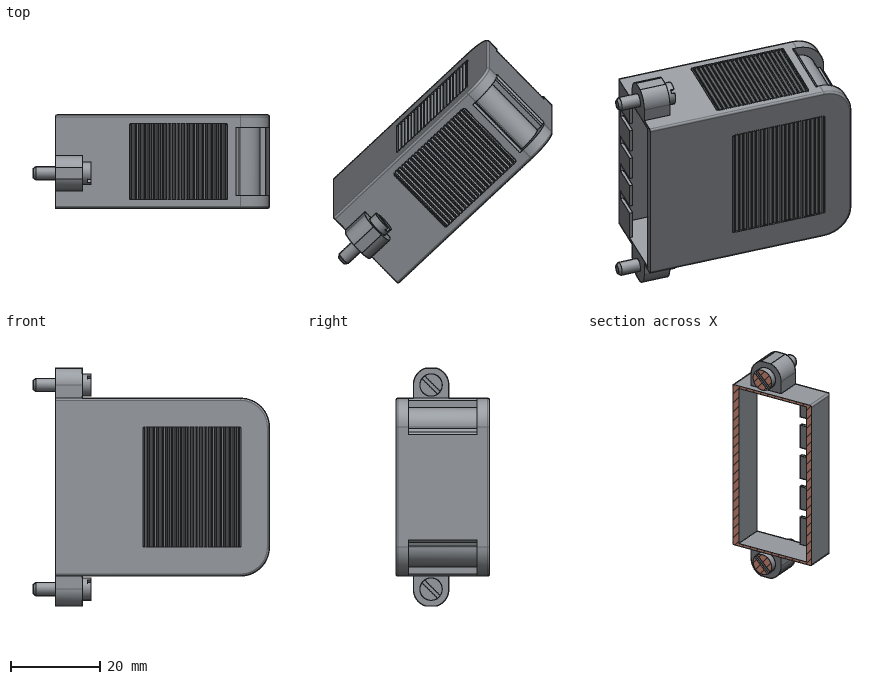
import cadquery as cq
import math

LENGTH = 47.95
WIDTH = 21.0
HEIGHT = 39.85
CORNER_RADIUS = 6.5
EDGE_FILLET = 0.5

OVERALL_HEIGHT = 53.3
EAR_Y = -2.6
SCREW_Z = 22.85
EAR_RADIUS = 4.0
EAR_LENGTH = 6.1
SHANK_RADIUS = 1.5
SHANK_PROJECTION = 5.0
TIP_RADIUS = 1.0
TIP_LENGTH = 0.65
HEAD_RADIUS = 2.5
HEAD_LENGTH = 1.9
SLOT_WIDTH = 0.85
SLOT_DEPTH = 0.8
SLOT_ANGLE = 45.0

CAVITY_DEPTH = 16.0
CAVITY_HALF_HEIGHT = 19.2
CAVITY_Y_MIN = -8.8
CAVITY_Y_MAX = 9.0
TOOTH_TIP_Y = 3.05
TOOTH_THICKNESS = 0.75
GAP_COUNT = 4
GAP_PITCH = 7.6
GAP_HEIGHT = 2.0

RIDGE_COUNT = 22
GRIP_LENGTH = 22.0
RIDGE_CREST = 0.25
GROOVE_DEPTH = 0.7
GRIP_CORNER = 0.4
FRONT_GRIP_X = 19.6
FRONT_GRIP_WIDTH = 26.9
TOP_GRIP_X = 16.6
TOP_GRIP_WIDTH = 17.05

CHEEK_WIDTH = 2.9
RECESS_START_X = 40.5
BEVEL_RUN = 0.6
BEVEL_DROP = 0.5
RECESS_DEPTH = 2.1
LEDGE_Z = 13.15
LEDGE_WIDTH = 1.2
LIP_RUN = 0.3
LIP_DROP = 0.8

CUT_MARGIN = 2.65


def mirrored_z(shape):
    return shape.union(shape.mirror("XY"))


def make_body():
    body = cq.Workplane("XY").box(LENGTH, WIDTH, HEIGHT).translate((LENGTH / 2, 0, 0))
    body = body.edges("|Y and >X").fillet(CORNER_RADIUS)
    return body.edges("(<Y and (not <X)) or >Y").fillet(EDGE_FILLET)


def make_cavity():
    height = 2 * CAVITY_HALF_HEIGHT

    def block(x_min, x_max, y_min, y_max, block_height, z=0.0):
        return (
            cq.Workplane("XY")
            .box(x_max - x_min, y_max - y_min, block_height)
            .translate(((x_min + x_max) / 2, (y_min + y_max) / 2, z))
        )

    mouth = block(0, TOOTH_THICKNESS, CAVITY_Y_MIN, TOOTH_TIP_Y, height)
    chamber = block(TOOTH_THICKNESS, CAVITY_DEPTH, CAVITY_Y_MIN, CAVITY_Y_MAX, height)
    cavity = chamber.union(mouth)
    for i in range(GAP_COUNT):
        z = (i - (GAP_COUNT - 1) / 2) * GAP_PITCH
        cavity = cavity.union(block(0, TOOTH_THICKNESS, TOOTH_TIP_Y, CAVITY_Y_MAX, GAP_HEIGHT, z))
    return cavity


def make_grip(width):
    """Groove cutter below the local XY plane, starting at x = 0 and centred on y = 0."""
    pitch = GRIP_LENGTH / RIDGE_COUNT
    half_groove = (pitch - RIDGE_CREST) / 2
    outline = (
        cq.Workplane("XY")
        .center(GRIP_LENGTH / 2, 0)
        .rect(GRIP_LENGTH, width)
        .extrude(-GROOVE_DEPTH)
        .edges("|Z")
        .fillet(GRIP_CORNER)
    )
    grooves = cq.Workplane("XZ")
    for i in range(RIDGE_COUNT + 1):
        x = i * pitch
        grooves = grooves.polyline(
            [(x - half_groove, 0), (x, -GROOVE_DEPTH), (x + half_groove, 0)]
        ).close()
    return outline.intersect(grooves.extrude(width / 2, both=True))


def make_corner_recess():
    top = HEIGHT / 2
    floor_z = top - RECESS_DEPTH
    bevel_end = RECESS_START_X + BEVEL_RUN
    arc_x = LENGTH - CORNER_RADIUS
    arc_z = top - CORNER_RADIUS
    radius = CORNER_RADIUS - RECESS_DEPTH
    wall_x = arc_x + radius
    diagonal = radius * math.sqrt(0.5)
    ledge_end = wall_x + LEDGE_WIDTH
    lip_x = ledge_end + LIP_RUN
    lip_z = LEDGE_Z - LIP_DROP
    outside_x = LENGTH + CUT_MARGIN
    return (
        cq.Workplane("XZ")
        .moveTo(RECESS_START_X, top)
        .lineTo(bevel_end, top - BEVEL_DROP)
        .lineTo(bevel_end, floor_z)
        .lineTo(arc_x, floor_z)
        .threePointArc((arc_x + diagonal, arc_z + diagonal), (wall_x, arc_z))
        .lineTo(wall_x, LEDGE_Z)
        .lineTo(ledge_end, LEDGE_Z)
        .lineTo(lip_x, lip_z)
        .lineTo(outside_x, lip_z - (outside_x - lip_x))
        .lineTo(outside_x, top)
        .close()
        .extrude(WIDTH / 2 - CHEEK_WIDTH, both=True)
    )


def make_ear():
    """Upper ear: a round-ended lug with its crown cut flat at the overall height."""
    top = OVERALL_HEIGHT / 2
    root = HEIGHT / 2
    crown = math.sqrt(EAR_RADIUS**2 - (top - SCREW_Z) ** 2)
    diagonal = EAR_RADIUS * math.sqrt(0.5)
    return (
        cq.Workplane("YZ")
        .moveTo(EAR_Y - EAR_RADIUS, root)
        .lineTo(EAR_Y - EAR_RADIUS, SCREW_Z)
        .threePointArc((EAR_Y - diagonal, SCREW_Z + diagonal), (EAR_Y - crown, top))
        .lineTo(EAR_Y + crown, top)
        .threePointArc((EAR_Y + diagonal, SCREW_Z + diagonal), (EAR_Y + EAR_RADIUS, SCREW_Z))
        .lineTo(EAR_Y + EAR_RADIUS, root)
        .close()
        .extrude(EAR_LENGTH)
    )


def make_screw(z):
    """Screw along X with a tapered tip at -X and a slanted driver slot in its head."""
    head_end = EAR_LENGTH + HEAD_LENGTH
    screw = (
        cq.Workplane("XY")
        .moveTo(-SHANK_PROJECTION, 0)
        .lineTo(-SHANK_PROJECTION, TIP_RADIUS)
        .lineTo(-SHANK_PROJECTION + TIP_LENGTH, SHANK_RADIUS)
        .lineTo(EAR_LENGTH, SHANK_RADIUS)
        .lineTo(EAR_LENGTH, HEAD_RADIUS)
        .lineTo(head_end, HEAD_RADIUS)
        .lineTo(head_end, 0)
        .close()
        .revolve(360, (0, 0, 0), (1, 0, 0))
    )
    slot = (
        cq.Workplane("XY")
        .box(SLOT_DEPTH, SLOT_WIDTH, 2 * HEAD_RADIUS + CUT_MARGIN)
        .translate((head_end - SLOT_DEPTH / 2, 0, 0))
        .rotate((0, 0, 0), (1, 0, 0), SLOT_ANGLE)
    )
    return screw.cut(slot).translate((0, EAR_Y, z))


front_grip = (
    make_grip(FRONT_GRIP_WIDTH)
    .rotate((0, 0, 0), (1, 0, 0), 90)
    .translate((FRONT_GRIP_X, -WIDTH / 2, 0))
)
top_grip = make_grip(TOP_GRIP_WIDTH).translate((TOP_GRIP_X, 0, HEIGHT / 2))

result = make_body().cut(make_cavity())
result = result.cut(mirrored_z(make_corner_recess()))
result = result.cut(front_grip)
result = result.cut(top_grip).cut(top_grip.mirror("XY"))

result = result.union(mirrored_z(make_ear()))
for screw_z in (SCREW_Z, -SCREW_Z):
    result = result.union(make_screw(screw_z))